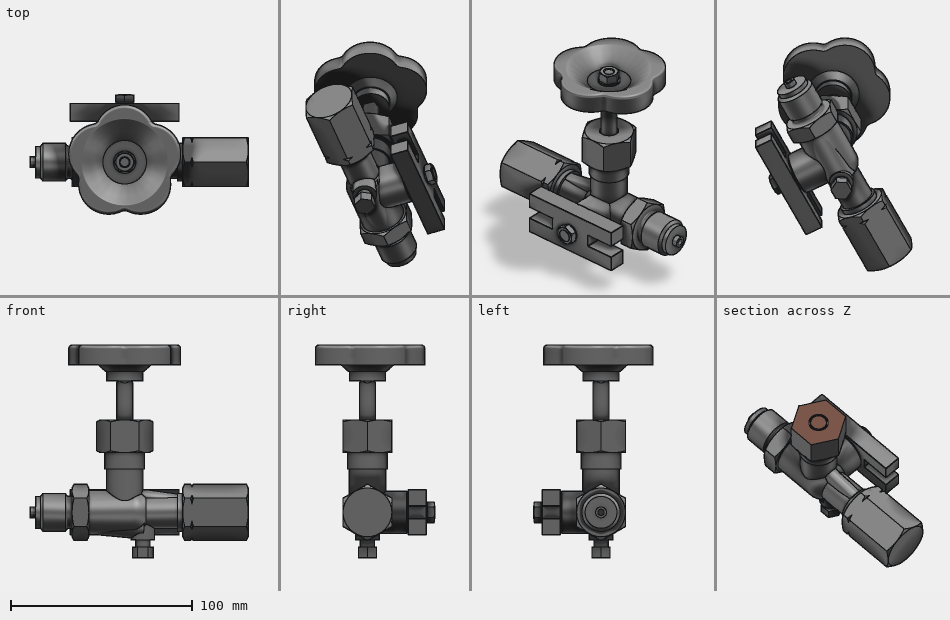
import cadquery as cq
import math


pin_end_x = -52.0
collar_end_x = -49.0
thread_start_x = -46.4
thread_full_x = -45.0
thread_end_x = -32.6
relief_x = -31.9
neck_start_x = -31.0
neck_end_x = -30.1
left_hex_x = -29.0
left_hex_end_x = -19.7
dome_start_x = 4.9
dome_end_x = 11.7
flange_x = 29.1
right_hex_x = 31.9
right_end_x = 68.0

pin_d = 6.0
pin_bore_d = 3.5
pin_bore_depth = 10.0
collar_d = 17.5
thread_d = 20.95
relief_d = 18.8
neck_d = 18.0
body_d = 24.0
pipe_d = 18.0
flange_d = 20.95

hex_flats = 27.0
hex_chamfer_angle = 27.0
hex_face_inset = 0.1
groove_x = 37.0
groove_bottom_d = 28.6
groove_width = 1.6

upper_passage_d = 9.0
upper_passage_slope = 7.9
upper_passage_start = (8.0, 8.4)
lower_passage_d = 15.8
lower_passage_slope = 5.4
lower_passage_end = (10.8, -6.9)
lower_passage_length = 31.0

bonnet_d = 20.3
bonnet_ring_d = 22.0
bonnet_ring_z = 23.8
packing_nut_z = 32.8
packing_nut_top_z = 50.9
packing_bore_d = 10.4
packing_bore_depth = 2.0
spindle_d = 9.0
spindle_square_z = 71.2
spindle_square_taper = 40.0

wheel_top_z = 92.07
wheel_height = 11.0
petal_count = 5
petal_r = 16.55
petal_center_r = 15.0
notch_fillet_r = 4.2
wheel_rim_fillet = 2.0
hub_d = 20.0
hub_z = 72.3
hub_cone_z = 77.5
hub_cone_d = 21.2
hub_cone_top_d = 29.0
dish_rim_d = 47.45
dish_floor_d = 24.0
dish_depth = 8.3
dish_edge_fillet = 0.9

small_flats = 10.0
washer_d = 12.3
washer_height = 0.9
wheel_nut_height = 5.2
nut_bore_d = 6.0
nut_bore_floor_d = 5.0
nut_bore_depth = 0.5

drain_x = 10.0
drain_boss_d = 13.0
drain_boss_z = -15.1
drain_shank_d = 8.0
drain_head_z = -19.06
drain_bottom_z = -25.0

rear_boss_d = 23.4
rear_boss_y = 21.9
rear_boss_chamfer = 0.5
rear_neck_d = 21.0
bracket_y = 22.4
bracket_length = 60.0
bracket_thickness = 10.0
bracket_height = 25.0
bracket_chamfer = 0.2
slot_width = 7.0
slot_depth = 17.0
bolt_washer_d = 9.8
bolt_washer_height = 0.75
bolt_head_height = 3.85
bolt_head_turn = 30.0
bolt_tip_d = 7.0
bolt_tip_height = 0.25


def revolved(points):
    """Solid of revolution about Z from a closed (radius, height) outline."""
    return cq.Workplane("XZ").polyline(points).close().revolve(360, (0, 0), (0, 1))


def disc(diameter, start, end):
    """Cylinder on Z between two levels."""
    return cq.Workplane("XY").workplane(offset=start).circle(diameter / 2).extrude(end - start)


def along_x(solid):
    """Turn a solid built on Z so that its axis lies along X, with its X pointing to -Z."""
    return solid.rotate((0, 0, 0), (0, 1, 0), 90)


def along_y(solid):
    """Turn a solid built on Z so that its axis lies along Y, with its Y pointing to -Z."""
    return solid.rotate((0, 0, 0), (1, 0, 0), -90)


def hexagon(flats, start, end, chamfer_start=True):
    """Hexagonal prism on Z, corners on X, with a turned chamfer at the end and optionally the start."""
    corner_r = flats / math.sqrt(3)
    face_r = flats / 2 - hex_face_inset
    drop = (corner_r - face_r) * math.tan(math.radians(hex_chamfer_angle))
    low_r = face_r if chamfer_start else corner_r
    envelope = revolved([
        (0, start),
        (low_r, start),
        (corner_r, start + drop),
        (corner_r, end - drop),
        (face_r, end),
        (0, end),
    ])
    prism = cq.Workplane("XY").workplane(offset=start).polygon(6, 2 * corner_r).extrude(end - start)
    return prism.intersect(envelope)


def make_main_axis():
    """Turned parts, hexagons and stepped body on the X axis."""
    dome_drop = (body_d - pipe_d) / 2
    dome_length = dome_end_x - dome_start_x
    dome_r = (dome_length**2 + dome_drop**2) / (2 * dome_drop)
    half_angle = math.asin(dome_length / dome_r) / 2
    dome_mid = (
        body_d / 2 - dome_r * (1 - math.cos(half_angle)),
        dome_start_x + dome_r * math.sin(half_angle),
    )
    turned = (
        cq.Workplane("XZ")
        .moveTo(0, pin_end_x)
        .lineTo(pin_d / 2, pin_end_x)
        .lineTo(pin_d / 2, collar_end_x)
        .lineTo(collar_d / 2, collar_end_x)
        .lineTo(collar_d / 2, thread_start_x)
        .lineTo(thread_d / 2, thread_full_x)
        .lineTo(thread_d / 2, thread_end_x)
        .lineTo(relief_d / 2, relief_x)
        .tangentArcPoint((neck_d / 2, neck_start_x), relative=False)
        .lineTo(neck_d / 2, neck_end_x)
        .tangentArcPoint((neck_d / 2 + left_hex_x - neck_end_x, left_hex_x), relative=False)
        .lineTo(body_d / 2, left_hex_x)
        .lineTo(body_d / 2, dome_start_x)
        .threePointArc(dome_mid, (pipe_d / 2, dome_end_x))
        .lineTo(pipe_d / 2, flange_x)
        .lineTo(flange_d / 2, flange_x)
        .lineTo(flange_d / 2, right_hex_x)
        .lineTo(0, right_hex_x)
        .close()
        .revolve(360, (0, 0), (0, 1))
    )
    corner_r = hex_flats / math.sqrt(3)
    groove = revolved([
        (groove_bottom_d / 2, groove_x),
        (corner_r, groove_x - groove_width / 2),
        (corner_r, groove_x + groove_width / 2),
    ])
    left_hex = hexagon(hex_flats, left_hex_x, left_hex_end_x)
    right_hex = hexagon(hex_flats, right_hex_x, right_end_x).cut(groove)
    bore = disc(pin_bore_d, pin_end_x, pin_end_x + pin_bore_depth)
    return along_x(turned.union(left_hex).union(right_hex).cut(bore))


def sloping_boss(diameter, point, direction, length):
    """Cylinder in the XZ plane from a (x, z) point along a (x, z) direction."""
    origin = cq.Vector(point[0], 0, point[1])
    axis = cq.Vector(direction[0], 0, direction[1])
    return cq.Workplane(cq.Solid.makeCylinder(diameter / 2, length, origin, axis))


def make_passages():
    """Sloping bosses: one above the right pipe, one under the body."""
    upper_angle = math.radians(upper_passage_slope)
    upper_length = (right_hex_x - upper_passage_start[0]) / math.cos(upper_angle)
    upper = sloping_boss(
        upper_passage_d, upper_passage_start, (math.cos(upper_angle), -math.sin(upper_angle)), upper_length
    )
    lower_angle = math.radians(lower_passage_slope)
    lower = sloping_boss(
        lower_passage_d, lower_passage_end, (-math.cos(lower_angle), math.sin(lower_angle)), lower_passage_length
    )
    return upper.union(lower)


def make_bonnet():
    """Bonnet, packing nut and spindle with its tapered square end."""
    bonnet = disc(bonnet_d, 0, bonnet_ring_z).union(disc(bonnet_ring_d, bonnet_ring_z, packing_nut_z))
    bore_floor_z = packing_nut_top_z - packing_bore_depth
    nut = hexagon(hex_flats, packing_nut_z, packing_nut_top_z)
    nut = nut.cut(disc(packing_bore_d, bore_floor_z, packing_nut_top_z))
    spindle = disc(spindle_d, bore_floor_z, spindle_square_z)
    square_end = (
        cq.Workplane("XY")
        .workplane(offset=spindle_square_z)
        .rect(spindle_d, spindle_d)
        .extrude(hub_z - spindle_square_z, taper=spindle_square_taper)
        .intersect(disc(spindle_d, spindle_square_z, hub_z))
    )
    return bonnet.union(nut).union(spindle).union(square_end)


def make_handwheel():
    """Five-petal dished wheel with its hub."""
    wheel_bottom_z = wheel_top_z - wheel_height
    floor_z = wheel_top_z - dish_depth
    petal = disc(2 * petal_r, wheel_bottom_z, wheel_top_z).translate((0, petal_center_r, 0))
    petal_step = 360 / petal_count
    wheel = petal
    for index in range(1, petal_count):
        wheel = wheel.union(petal.rotate((0, 0, 0), (0, 0, 1), index * petal_step))

    half_step = math.radians(petal_step / 2)
    notch_r = petal_center_r * math.cos(half_step)
    notch_r += math.sqrt(petal_r**2 - (petal_center_r * math.sin(half_step)) ** 2)
    for index in range(petal_count):
        angle = math.radians(index * petal_step - 90)
        notch = (notch_r * math.cos(angle), notch_r * math.sin(angle), wheel_top_z - wheel_height / 2)
        wheel = wheel.edges(cq.NearestToPointSelector(notch)).fillet(notch_fillet_r)
    wheel = wheel.faces(">Z").edges().fillet(wheel_rim_fillet)
    dish = revolved([
        (0, floor_z),
        (dish_floor_d / 2, floor_z),
        (dish_rim_d / 2, wheel_top_z),
        (0, wheel_top_z),
    ])
    hub = revolved([
        (0, hub_z),
        (hub_d / 2, hub_z),
        (hub_d / 2, hub_cone_z),
        (hub_cone_d / 2, hub_cone_z),
        (hub_cone_top_d / 2, wheel_bottom_z),
        (0, wheel_bottom_z),
    ])
    wheel = wheel.cut(dish)
    wheel = wheel.edges(cq.NearestToPointSelector((0, 0, wheel_top_z))).fillet(dish_edge_fillet)
    return wheel.union(hub)


def make_wheel_nut():
    """Nut and washer on the floor of the dish, with a countersunk bore."""
    floor_z = wheel_top_z - dish_depth
    nut_z = floor_z + washer_height
    top_z = nut_z + wheel_nut_height
    washer = disc(washer_d, floor_z, nut_z)
    nut = hexagon(small_flats, nut_z, top_z, chamfer_start=False)
    bore = revolved([
        (0, top_z - nut_bore_depth),
        (nut_bore_floor_d / 2, top_z - nut_bore_depth),
        (nut_bore_d / 2, top_z),
        (0, top_z),
    ])
    return washer.union(nut).cut(bore)


def make_drain():
    """Drain boss and screw under the body."""
    boss = disc(drain_boss_d, drain_boss_z, 0)
    shank = disc(drain_shank_d, drain_head_z, drain_boss_z)
    head = (
        cq.Workplane("XY")
        .workplane(offset=drain_bottom_z)
        .polygon(6, 2 * small_flats / math.sqrt(3))
        .extrude(drain_head_z - drain_bottom_z)
    )
    return boss.union(shank).union(head).translate((drain_x, 0, 0))


def make_rear_mount():
    """Rear boss, slotted bracket bar and its bolt, all on the Y axis."""
    boss = disc(rear_boss_d, 0, rear_boss_y).faces(">Z").chamfer(rear_boss_chamfer)
    neck = disc(rear_neck_d, rear_boss_y, bracket_y)
    bar_end_y = bracket_y + bracket_thickness
    bar = (
        cq.Workplane("XY")
        .workplane(offset=bracket_y)
        .rect(bracket_length, bracket_height)
        .extrude(bracket_thickness)
    )
    slots = (
        cq.Workplane("XY")
        .workplane(offset=bracket_y)
        .pushPoints([(side * (bracket_length - slot_depth) / 2, 0) for side in (-1, 1)])
        .rect(slot_depth, slot_width)
        .extrude(bracket_thickness)
    )
    bar = bar.cut(slots).edges().chamfer(bracket_chamfer)
    head_y = bar_end_y + bolt_washer_height
    tip_y = head_y + bolt_head_height
    washer = disc(bolt_washer_d, bar_end_y, head_y)
    head = hexagon(small_flats, head_y, tip_y, chamfer_start=False).rotate((0, 0, 0), (0, 0, 1), bolt_head_turn)
    tip = disc(bolt_tip_d, tip_y, tip_y + bolt_tip_height)
    return along_y(boss.union(neck).union(bar).union(washer).union(head).union(tip))


result = (
    make_main_axis()
    .union(make_passages())
    .union(make_bonnet())
    .union(make_handwheel())
    .union(make_wheel_nut())
    .union(make_drain())
    .union(make_rear_mount())
)